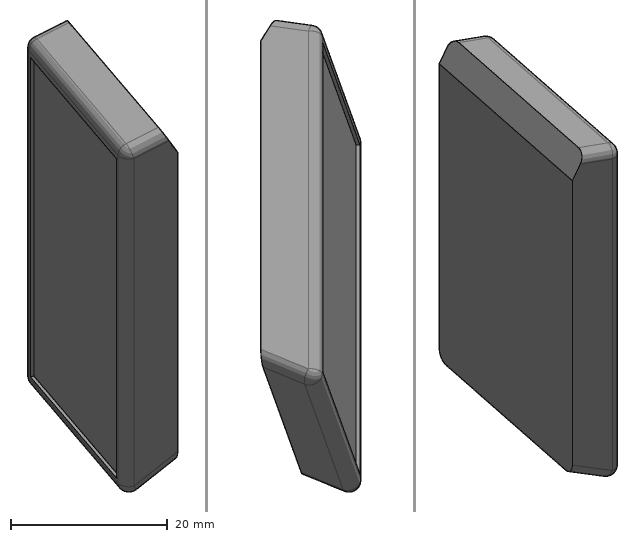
import cadquery as cq
import math

width = 29.8
depth = 7.7
height = 54.3

edge_radius = 1.5
bottom_slope = math.radians(30)
top_slope = math.radians(15)
chamfer_angle = math.radians(30)
ridge_y = 5.7

panel_margin = 2.0
panel_height = 48.8
panel_recess = 0.5
panel_thickness = 0.5

panel_width = width - 2 * panel_margin
pocket_depth = panel_recess + panel_thickness


def wedge_blank():
    """Housing block before rounding, with flat sloping top and bottom faces."""
    front_bottom_z = edge_radius * (1 - (1 + math.sin(bottom_slope)) / math.cos(bottom_slope))
    rear_bottom_z = front_bottom_z + depth * math.tan(bottom_slope)
    front_top_z = height - ridge_y * math.tan(top_slope)
    rear_top_z = front_top_z + depth * math.tan(top_slope)
    return (
        cq.Workplane("YZ")
        .polyline([(0, front_bottom_z), (depth, rear_bottom_z), (depth, rear_top_z), (0, front_top_z)])
        .close()
        .extrude(width / 2, both=True)
    )


def round_edges(block):
    """Round the front rim and the side edges of the top and bottom faces."""
    front_rim = block.faces("<Y").edges()
    slope_sides = block.faces("<Z or >Z").edges("<X or >X")
    return block.newObject(front_rim.vals() + slope_sides.vals()).fillet(edge_radius)


def rear_chamfer_cutter():
    """Prism that removes the upper rear edge behind the ridge."""
    chamfer_depth = depth - ridge_y
    chamfer_height = chamfer_depth / math.tan(chamfer_angle)
    return (
        cq.Workplane("YZ")
        .moveTo(ridge_y - chamfer_depth, height + chamfer_height)
        .lineTo(depth + chamfer_depth, height - 2 * chamfer_height)
        .lineTo(depth + chamfer_depth, height + chamfer_height)
        .close()
        .extrude(width / 2, both=True)
    )


def front_plate(front_y, thickness):
    """Rectangular plate of the panel outline, its front face at front_y."""
    plate = cq.Workplane("XY").box(panel_width, thickness, panel_height, centered=(True, False, False))
    return plate.translate((0, front_y, panel_margin))


def make_housing():
    rounded = round_edges(wedge_blank())
    return rounded.cut(rear_chamfer_cutter()).cut(front_plate(0, pocket_depth))


def make_panel():
    return front_plate(panel_recess, panel_thickness)


housing = make_housing()
panel = make_panel()

result = cq.Compound.makeCompound([housing.val(), panel.val()])